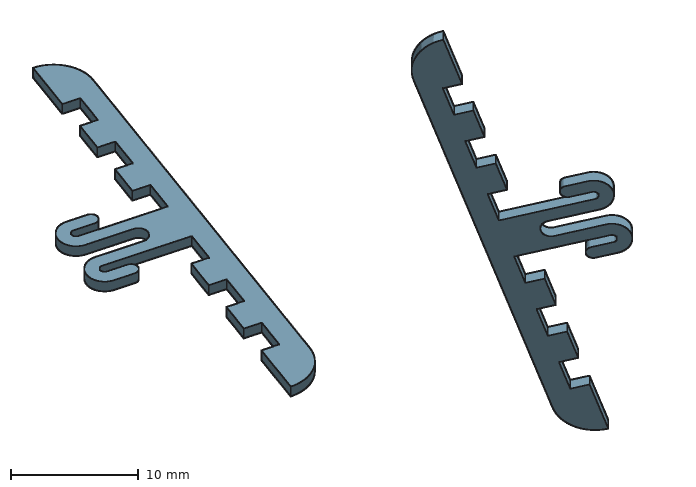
import cadquery as cq

length = 44.0
depth = 11.45
thickness = 1.0

bar_depth = 3.5
end_flat = 0.02
corner_radius = bar_depth - end_flat
notch_depth = 1.6
notch_width = 3.0
notch_pitch = 2 * notch_width
outer_notch_count = 2
inner_notch_edge = 5.0

stem_width = 4.1
slot_width = 1.65
slot_top_depth = 4.75
groove_width = 0.8
hook_tip_depth = 7.4

leg_width = (stem_width - slot_width) / 2
hook_center = (stem_width + groove_width) / 2
groove_radius = groove_width / 2
hook_radius = groove_radius + leg_width
slot_radius = slot_width / 2

y_back = depth / 2
y_front = -depth / 2
y_bar_front = y_back - bar_depth
y_notch_floor = y_bar_front + notch_depth
y_bend = y_front + hook_radius
y_tip = y_back - hook_tip_depth
y_slot_top = y_back - slot_top_depth


def block(x_min, x_max, y_min, y_max):
    """Full-thickness rectangular block between the given limits."""
    return cq.Workplane("XY").box(
        x_max - x_min, y_max - y_min, thickness, centered=False
    ).translate((x_min, y_min, 0))


def make_bar():
    """Bar with rounded back corners and square notches along the front."""
    bar = block(-length / 2, length / 2, y_bar_front, y_back)
    bar = bar.edges("|Z and >Y").fillet(corner_radius)
    notch_spans = [(stem_width / 2, inner_notch_edge)]
    for index in range(outer_notch_count):
        start = inner_notch_edge + notch_width + index * notch_pitch
        notch_spans.append((start, start + notch_width))
    for start, end in notch_spans:
        notch = block(start, end, y_bar_front, y_notch_floor)
        bar = bar.cut(notch).cut(notch.mirror("YZ"))
    return bar


def make_leg():
    """Right-hand leg: straight arm, round bend and round-tipped finger."""
    x_slot = slot_width / 2
    x_arm = stem_width / 2
    x_finger = x_arm + groove_width
    x_outer = x_finger + leg_width
    y_finger = y_tip - leg_width / 2
    profile = (
        cq.Workplane("XY")
        .moveTo(0, y_notch_floor)
        .lineTo(x_arm, y_notch_floor)
        .lineTo(x_arm, y_bend)
        .threePointArc((hook_center, y_bend - groove_radius), (x_finger, y_bend))
        .lineTo(x_finger, y_finger)
        .threePointArc(((x_finger + x_outer) / 2, y_tip), (x_outer, y_finger))
        .lineTo(x_outer, y_bend)
        .threePointArc((hook_center, y_front), (x_slot, y_bend))
        .lineTo(x_slot, y_slot_top - slot_radius)
        .radiusArc((0, y_slot_top), -slot_radius)
        .close()
    )
    return profile.extrude(thickness)


leg = make_leg()
result = make_bar().union(leg).union(leg.mirror("YZ")).clean()